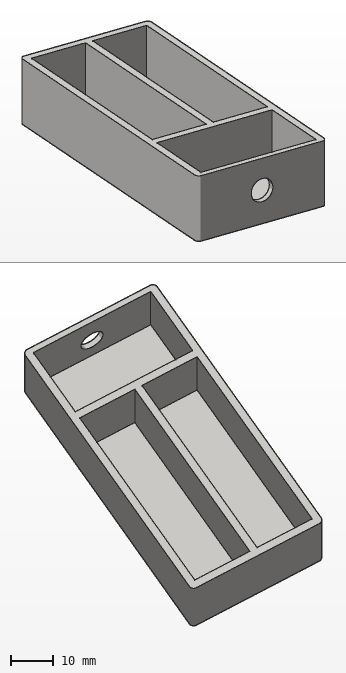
import cadquery as cq

length = 76.0
width = 36.0
height = 17.0
corner_radius = 1.2

wall = 2.0
thin_wall = 1.5
floor = 2.0

end_pocket_length = 18.85
long_pocket_length = length - 2 * wall - thin_wall - end_pocket_length
inner_width = width - 2 * wall
long_pocket_width = (inner_width - wall) / 2

hole_diameter = 6.0
hole_height = 8.75


def pocket(x_start, y_center, x_size, y_size):
    """Rectangular cutter from the floor up to the open top."""
    return (
        cq.Workplane("XY")
        .box(x_size, y_size, height - floor, centered=(False, True, False))
        .translate((x_start, y_center, floor))
    )


result = (
    cq.Workplane("XY")
    .box(length, width, height, centered=(True, True, False))
    .edges("|Z")
    .fillet(corner_radius)
)

for side in (-1, 1):
    y_center = side * (wall + long_pocket_width) / 2
    result = result.cut(pocket(-length / 2 + wall, y_center, long_pocket_length, long_pocket_width))

end_pocket_start = length / 2 - thin_wall - end_pocket_length
result = result.cut(pocket(end_pocket_start, 0, end_pocket_length, inner_width))

hole_start = end_pocket_start + end_pocket_length / 2
hole = (
    cq.Workplane("YZ", origin=(hole_start, 0, hole_height))
    .circle(hole_diameter / 2)
    .extrude(end_pocket_length)
)
result = result.cut(hole)